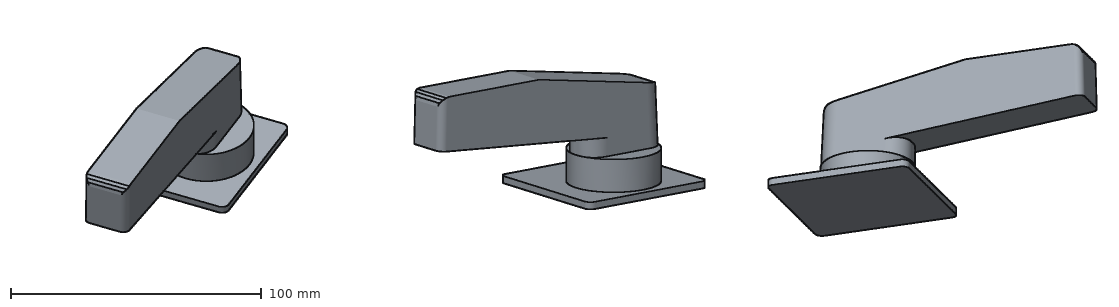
import cadquery as cq
import math

plate_width = 58.0
plate_length = 60.0
plate_thickness = 3.0
plate_corner_radius = 3.0
plate_offset_x = -6.4

boss_radius = 19.0
boss_height = 13.5
boss_top = plate_thickness + boss_height

lever_width = 19.0
lever_top = 53.4
tip_y = plate_length / 2 - 125.0
tip_bottom = 31.2
tip_lean = 0.6
bend_y = -45.2
slope_angle = 10.0
back_lean_angle = 2.8
underside_start = 24.9

stem_radius = 8.0
back_top_radius = 4.8
tip_side_radius = 3.0
tip_top_radius = 4.0
tip_facets = 4


def make_plate():
    plate = cq.Workplane("XY").box(
        plate_width, plate_length, plate_thickness, centered=(True, True, False)
    )
    plate = plate.edges("|Z").fillet(plate_corner_radius)
    return plate.translate((plate_offset_x, 0, 0))


def make_boss():
    return cq.Workplane("XY").workplane(offset=plate_thickness).circle(boss_radius).extrude(boss_height)


def edges_near(body, points):
    """Select the edges of the body closest to the given points."""
    picked = body.edges(cq.selectors.NearestToPointSelector(points[0]))
    for point in points[1:]:
        picked = picked.add(body.edges(cq.selectors.NearestToPointSelector(point)))
    return picked


def tip_facet_points(tip_top_y):
    """Corners of the flat facets that follow a quarter circle from the top face to the tip face."""
    lean_at_arc_end = (tip_top_y - tip_y) * tip_top_radius / (lever_top - tip_bottom)
    center_y = tip_top_y - lean_at_arc_end + tip_top_radius
    center_z = lever_top - tip_top_radius
    angles = [math.pi / 2 * step / tip_facets for step in range(tip_facets + 1)]
    return [
        (center_y - tip_top_radius * math.sin(angle), center_z + tip_top_radius * math.cos(angle))
        for angle in angles
    ]


def make_lever():
    slope = math.tan(math.radians(slope_angle))
    lean = math.tan(math.radians(back_lean_angle))
    back_rise = (lever_top - boss_top - slope * (boss_radius - bend_y)) / (1 - slope * lean)
    back_top_y = boss_radius - lean * back_rise
    back_top_z = boss_top + back_rise
    tip_top_y = tip_y + tip_lean

    def extrude_profile(tip_top_points):
        return (
            cq.Workplane("YZ")
            .moveTo(boss_radius, boss_top)
            .lineTo(back_top_y, back_top_z)
            .lineTo(bend_y, lever_top)
            .polyline(tip_top_points, includeCurrent=True)
            .lineTo(tip_y, tip_bottom)
            .lineTo(-boss_radius, underside_start)
            .lineTo(-boss_radius, boss_top)
            .close()
            .extrude(lever_width / 2, both=True)
        )

    blank = extrude_profile([(tip_top_y, lever_top)])
    eased = extrude_profile(tip_facet_points(tip_top_y))
    eased = edges_near(eased, [(0, back_top_y, back_top_z)]).fillet(back_top_radius)

    half = lever_width / 2
    back_point = ((boss_radius + back_top_y) / 2, (boss_top + back_top_z) / 2)
    stem_point = (-boss_radius, (boss_top + underside_start) / 2)
    tip_point = ((tip_y + tip_top_y) / 2, (tip_bottom + lever_top) / 2)
    stem_edges = [(side * half, *point) for side in (-1, 1) for point in (back_point, stem_point)]
    tip_edges = [(side * half, *tip_point) for side in (-1, 1)]
    sides_rounded = edges_near(blank, stem_edges).fillet(stem_radius)
    sides_rounded = edges_near(sides_rounded, tip_edges).fillet(tip_side_radius)

    return sides_rounded.intersect(eased)


result = make_plate().union(make_boss()).union(make_lever())